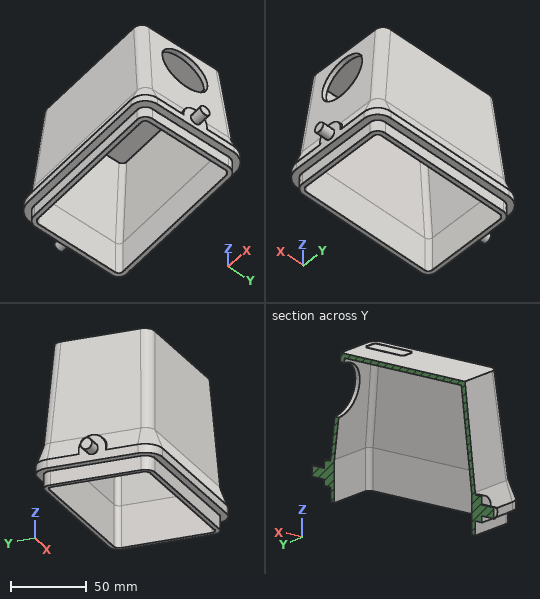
import cadquery as cq

HEIGHT = 105.0
FLANGE_BOTTOM_Z = 10.0
FLANGE_TOP_Z = 16.3
WAIST_Z = 30.2

SKIRT_SIZE = (121.3, 79.3)
FLANGE_SIZE = (132.0, 90.0)
TOP_SIZE = (104.3, 71.5)
CORNER_RADIUS = 7.1
FLANGE_CORNER_RADIUS = CORNER_RADIUS + (FLANGE_SIZE[0] - SKIRT_SIZE[0]) / 2

WALL = 3.5

PIN_SPAN = 152.0
PIN_DIAMETER = 8.0
PIN_Z = 18.5
PAD_RADIUS = 9.9

ENTRY_DIAMETER = 38.3
ENTRY_Z = 79.0

LABEL_SIZE = (32.2, 11.0)
LABEL_CENTER = (31.2, -25.0)
LABEL_CORNER_RADIUS = 2.5
LABEL_DEPTH = 0.3


def rounded_block(size, radius, bottom_z, top_z):
    """Upright block with rounded vertical corners."""
    return (
        cq.Workplane("XY", origin=(0, 0, bottom_z))
        .rect(*size)
        .extrude(top_z - bottom_z)
        .edges("|Z")
        .fillet(radius)
    )


def tapered_block(bottom_size, bottom_radius, bottom_z, top_size, top_radius, top_z):
    """Block whose rounded section changes steadily from bottom to top."""
    bottom = cq.Sketch().rect(*bottom_size).vertices().fillet(bottom_radius)
    top = cq.Sketch().rect(*top_size).vertices().fillet(top_radius)
    return (
        cq.Workplane("XY", origin=(0, 0, bottom_z))
        .placeSketch(bottom, top.moved(cq.Location(cq.Vector(0, 0, top_z - bottom_z))))
        .loft(ruled=True)
    )


def inset(size):
    """Section size reduced by the wall on every side."""
    return (size[0] - 2 * WALL, size[1] - 2 * WALL)


def outer_body():
    skirt = rounded_block(SKIRT_SIZE, CORNER_RADIUS, 0, WAIST_Z)
    flange = rounded_block(FLANGE_SIZE, FLANGE_CORNER_RADIUS, FLANGE_BOTTOM_Z, FLANGE_TOP_Z)
    shoulder = tapered_block(
        FLANGE_SIZE, FLANGE_CORNER_RADIUS, FLANGE_TOP_Z, SKIRT_SIZE, CORNER_RADIUS, WAIST_Z
    )
    hood = tapered_block(SKIRT_SIZE, CORNER_RADIUS, WAIST_Z, TOP_SIZE, CORNER_RADIUS, HEIGHT)
    return skirt.union(flange).union(shoulder).union(hood)


def pins_and_pads():
    """Coaxial pins and pads running along X; the cavity later removes their middle."""
    axis = cq.Workplane("YZ", origin=(0, 0, PIN_Z))
    pins = axis.circle(PIN_DIAMETER / 2).extrude(PIN_SPAN / 2, both=True)
    pads = axis.circle(PAD_RADIUS).extrude(FLANGE_SIZE[0] / 2, both=True)
    leg_height = PIN_Z - FLANGE_BOTTOM_Z
    pad_legs = (
        cq.Workplane("XY", origin=(0, 0, FLANGE_BOTTOM_Z))
        .rect(FLANGE_SIZE[0], 2 * PAD_RADIUS)
        .extrude(leg_height)
    )
    keep = (
        cq.Workplane("XY", origin=(0, 0, FLANGE_BOTTOM_Z))
        .rect(FLANGE_SIZE[0], 2 * PAD_RADIUS)
        .extrude(leg_height + PAD_RADIUS)
    )
    return pads.intersect(keep).union(pad_legs).union(pins)


def cavity():
    radius = CORNER_RADIUS - WALL
    lower = rounded_block(inset(SKIRT_SIZE), radius, 0, WAIST_Z)
    upper = tapered_block(
        inset(SKIRT_SIZE), radius, WAIST_Z, inset(TOP_SIZE), radius, HEIGHT - WALL
    )
    return lower.union(upper)


def cable_entry():
    return (
        cq.Workplane("YZ", origin=(0, 0, ENTRY_Z))
        .circle(ENTRY_DIAMETER / 2)
        .extrude(PIN_SPAN / 2)
    )


def label_recess():
    recess = rounded_block(LABEL_SIZE, LABEL_CORNER_RADIUS, HEIGHT - LABEL_DEPTH, HEIGHT)
    return recess.translate((*LABEL_CENTER, 0))


result = (
    outer_body()
    .union(pins_and_pads())
    .cut(cavity())
    .cut(cable_entry())
    .cut(label_recess())
)